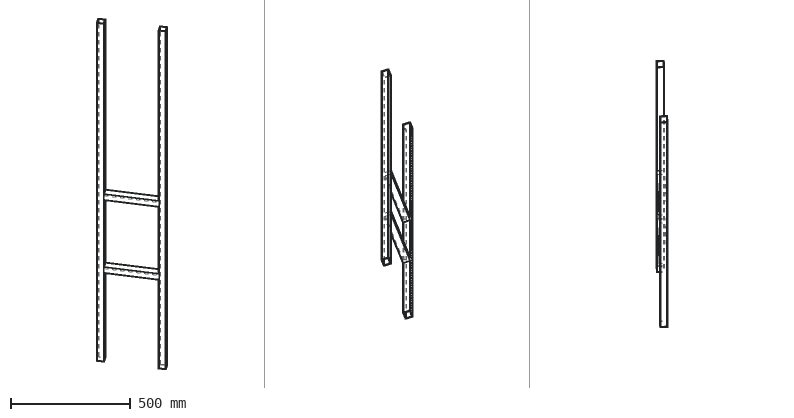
import cadquery as cq

TUBE_SIZE = 31.75
TUBE_WALL = 3.048
TUBE_BORE = TUBE_SIZE - 2 * TUBE_WALL

FRAME_WIDTH = 294.64
FRAME_HEIGHT = 1765.3
FRAME_ANGLE = 30.0

LOWER_RUNG_HEIGHT = 479.425
RUNG_SPACING = 381.0
RUNG_COUNT = 2

POST_OFFSET = (FRAME_WIDTH - TUBE_SIZE) / 2
RUNG_LENGTH = FRAME_WIDTH - 2 * TUBE_SIZE


def make_post(x_center):
    """Upright square tube, open at both ends, standing on Z = 0."""
    return (
        cq.Workplane("XY")
        .center(x_center, 0)
        .rect(TUBE_SIZE, TUBE_SIZE)
        .rect(TUBE_BORE, TUBE_BORE)
        .extrude(FRAME_HEIGHT)
    )


def make_rung(z_center):
    """Solid square crossbar between the posts, flush with their front and back faces."""
    return (
        cq.Workplane("XY")
        .box(RUNG_LENGTH, TUBE_SIZE, TUBE_SIZE)
        .translate((0, 0, z_center))
    )


frame = make_post(-POST_OFFSET).union(make_post(POST_OFFSET))
for rung_index in range(RUNG_COUNT):
    rung_height = LOWER_RUNG_HEIGHT + rung_index * RUNG_SPACING
    frame = frame.union(make_rung(rung_height))

result = frame.rotate((0, 0, 0), (0, 0, 1), FRAME_ANGLE)